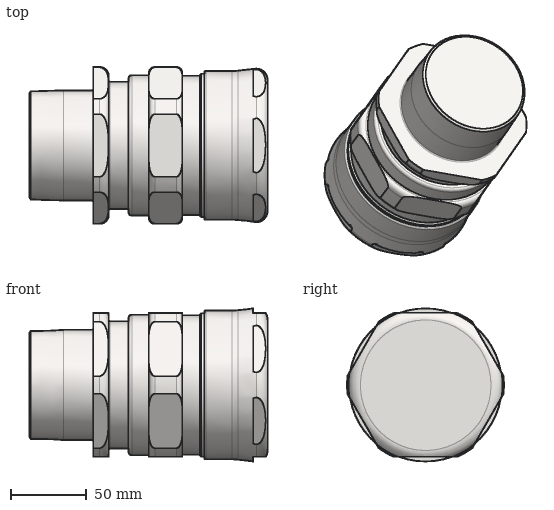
import cadquery as cq
import math


TAPER_END = 22.4
FLANGE_START = 42.3
FLANGE_END = 52.7
BODY_START = 65.6
HEX_START = 79.0
HEX_END = 101.2
RING_START = 112.5
NUT_START = 115.7
BEND_START = 133.7
BEND_END = 137.8
FLAT_START = 148.0
CROWN_START = 150.0
TOTAL_LENGTH = 157.7

ACROSS_FLATS = 95.2
ACROSS_CORNERS = 103.9
FLANGE_ROUND = 6.3
HEX_ROUND = 4.1

THREAD_DIAMETER = 73.0
TAPER_RATIO = 1 / 16
TIP_DIAMETER = 68.3
TIP_CHAMFER = 1.1
NECK_DIAMETER = 84.4
ROOT_FILLET = 0.71
EDGE_CLEARANCE = 0.08

SHOULDER_DIAMETER = 93.0
SHOULDER_ROUND = 2.2
BARREL_DIAMETER = 92.4

RING_DIAMETER = 95.0
RING_CHAMFER = 1.3

NUT_DIAMETER = 98.5
NUT_EDGE_ROUND = 1.0
FLARE_ANGLE = math.radians(6.5)


def revolve(outline):
    """Turn an outline in the XY plane about the X axis."""
    return outline.close().revolve(360, (0, 0, 0), (1, 0, 0))


def cylinder(diameter, start, end):
    """Round bar along X."""
    return cq.Workplane("YZ", origin=(start, 0, 0)).circle(diameter / 2).extrude(end - start)


def hex_bar(start, end):
    """Hexagonal bar along X with flats at the top and bottom."""
    sharp_corners = ACROSS_FLATS / math.cos(math.pi / 6)
    return cq.Workplane("YZ", origin=(start, 0, 0)).polygon(6, sharp_corners).extrude(end - start)


def rounded_hex(start, end, edge_round, round_selector):
    """Hexagonal collar whose corners are turned down and rounded at the chosen ends."""
    envelope = cylinder(ACROSS_CORNERS, start, end).faces(round_selector).edges().fillet(edge_round)
    return hex_bar(start, end).intersect(envelope)


def fillet_edge_at(solid, x, diameter, radius):
    """Fillet the circular edge of the given diameter at a place along X."""
    reach = diameter / 2 + EDGE_CLEARANCE
    low_corner = (x - EDGE_CLEARANCE, -reach, -reach)
    high_corner = (x + EDGE_CLEARANCE, reach, reach)
    edge_box = cq.selectors.BoxSelector(low_corner, high_corner, True)
    return solid.edges(edge_box).fillet(radius)


def make_entry_fitting():
    """Tapered entry thread, hexagonal flange and neck."""
    thread_radius = THREAD_DIAMETER / 2
    taper_radius = thread_radius - (TAPER_END - TIP_CHAMFER) * TAPER_RATIO / 2
    thread = revolve(
        cq.Workplane("XY")
        .lineTo(0, TIP_DIAMETER / 2)
        .lineTo(TIP_CHAMFER, taper_radius)
        .lineTo(TAPER_END, thread_radius)
        .lineTo(FLANGE_START, thread_radius)
        .lineTo(FLANGE_START, 0)
    )
    flange = rounded_hex(FLANGE_START, FLANGE_END, FLANGE_ROUND, ">X")
    neck = cylinder(NECK_DIAMETER, FLANGE_END, BODY_START)
    fitting = thread.union(flange).union(neck)
    fitting = fillet_edge_at(fitting, FLANGE_START, THREAD_DIAMETER, ROOT_FILLET)
    return fillet_edge_at(fitting, FLANGE_END, NECK_DIAMETER, ROOT_FILLET)


def make_middle_body():
    """Rounded shoulder, hexagonal collar and barrel."""
    shoulder = cylinder(SHOULDER_DIAMETER, BODY_START, HEX_START)
    shoulder = shoulder.faces("<X").edges().fillet(SHOULDER_ROUND)
    collar = rounded_hex(HEX_START, HEX_END, HEX_ROUND, "|X")
    barrel = cylinder(BARREL_DIAMETER, HEX_END, RING_START)
    return shoulder.union(collar).union(barrel)


def make_ring():
    """Ring between the barrel and the back nut."""
    return cylinder(RING_DIAMETER, RING_START, NUT_START).faces("<X").edges().chamfer(RING_CHAMFER)


def make_back_nut():
    """Flared nut with a rounded crown and six wrench flats."""
    nut_radius = NUT_DIAMETER / 2
    bend_length = BEND_END - BEND_START
    bend_radius = bend_length / math.sin(FLARE_ANGLE)
    bend_rise = bend_radius * (1 - math.cos(FLARE_ANGLE))
    half_bend = FLARE_ANGLE / 2
    bend_middle = (
        BEND_START + bend_radius * math.sin(half_bend),
        nut_radius + bend_radius * (1 - math.cos(half_bend)),
    )
    crown_radius = nut_radius + bend_rise + (CROWN_START - BEND_END) * math.tan(FLARE_ANGLE)
    crown_round = TOTAL_LENGTH - CROWN_START
    crown_middle = (
        CROWN_START + crown_round * math.sin(math.pi / 4),
        crown_radius - crown_round * (1 - math.cos(math.pi / 4)),
    )
    nut = revolve(
        cq.Workplane("XY")
        .moveTo(NUT_START, 0)
        .lineTo(NUT_START, nut_radius)
        .lineTo(BEND_START, nut_radius)
        .threePointArc(bend_middle, (BEND_END, nut_radius + bend_rise))
        .lineTo(CROWN_START, crown_radius)
        .threePointArc(crown_middle, (TOTAL_LENGTH, crown_radius - crown_round))
        .lineTo(TOTAL_LENGTH, 0)
    )
    nut = nut.faces("<X").edges().fillet(NUT_EDGE_ROUND)
    blank = cylinder(2 * ACROSS_CORNERS, FLAT_START, TOTAL_LENGTH)
    outside_flats = blank.cut(hex_bar(FLAT_START, TOTAL_LENGTH))
    return nut.cut(outside_flats)


entry_fitting = make_entry_fitting()
middle_body = make_middle_body()
ring = make_ring()
back_nut = make_back_nut()

result = cq.Compound.makeCompound(
    [entry_fitting.val(), middle_body.val(), ring.val(), back_nut.val()]
)